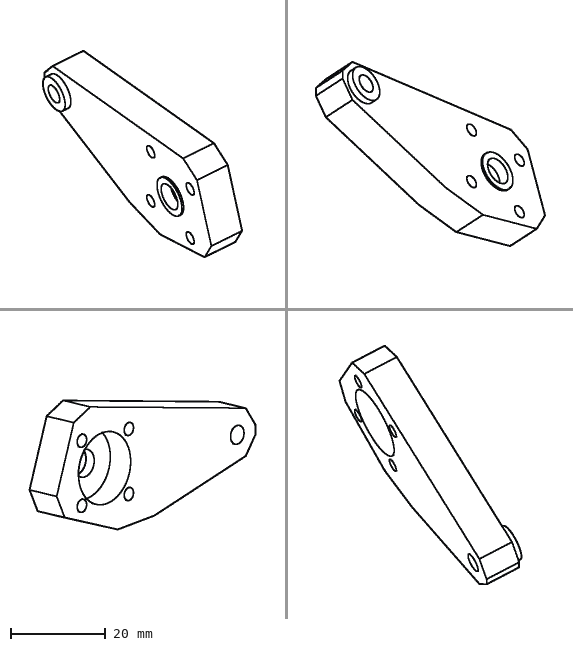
import cadquery as cq

plate_thickness = 8.0

plate_corners = [
    (-42.55, 5.35),
    (4.3, 14.1),
    (9.3, 11.55),
    (14.45, -3.55),
    (12.0, -8.6),
    (-3.95, -14.1),
    (-15.0, -13.05),
    (-42.55, -5.1),
    (-45.5, -0.95),
    (-45.5, 1.2),
]

pivot_x = -39.95
pivot_boss_diameter = 8.0
pivot_boss_height = 1.5
pivot_hole_diameter = 4.1

main_boss_diameter = 9.0
main_boss_height = 0.4
main_hole_diameter = 6.0
bearing_bore_diameter = 15.7
bearing_bore_depth = 6.0

screw_hole_diameter = 2.8
screw_spacing = 14.15
screw_pattern_center = (-0.25, 0.1)


def cylinder_along_y(diameter, center_x, start_y, end_y):
    """Cylinder parallel to Y between two Y positions, centered at Z = 0."""
    base = cq.Workplane("XZ", origin=(center_x, end_y, 0))
    return base.circle(diameter / 2).extrude(end_y - start_y)


plate = cq.Workplane("XZ", origin=(0, plate_thickness, 0)).polyline(plate_corners).close()
result = plate.extrude(plate_thickness)

result = result.union(
    cylinder_along_y(pivot_boss_diameter, pivot_x, -pivot_boss_height, plate_thickness)
)
result = result.union(
    cylinder_along_y(main_boss_diameter, 0, -main_boss_height, plate_thickness)
)

result = result.cut(
    cylinder_along_y(pivot_hole_diameter, pivot_x, -pivot_boss_height, plate_thickness)
)
result = result.cut(
    cylinder_along_y(main_hole_diameter, 0, -main_boss_height, plate_thickness)
)

bore_floor = plate_thickness - bearing_bore_depth
result = result.cut(cylinder_along_y(bearing_bore_diameter, 0, bore_floor, plate_thickness))

screw_x, screw_z = screw_pattern_center
screw_holes = (
    cq.Workplane("XZ", origin=(screw_x, plate_thickness, screw_z))
    .rect(screw_spacing, screw_spacing, forConstruction=True)
    .vertices()
    .circle(screw_hole_diameter / 2)
    .extrude(plate_thickness)
)
result = result.cut(screw_holes)